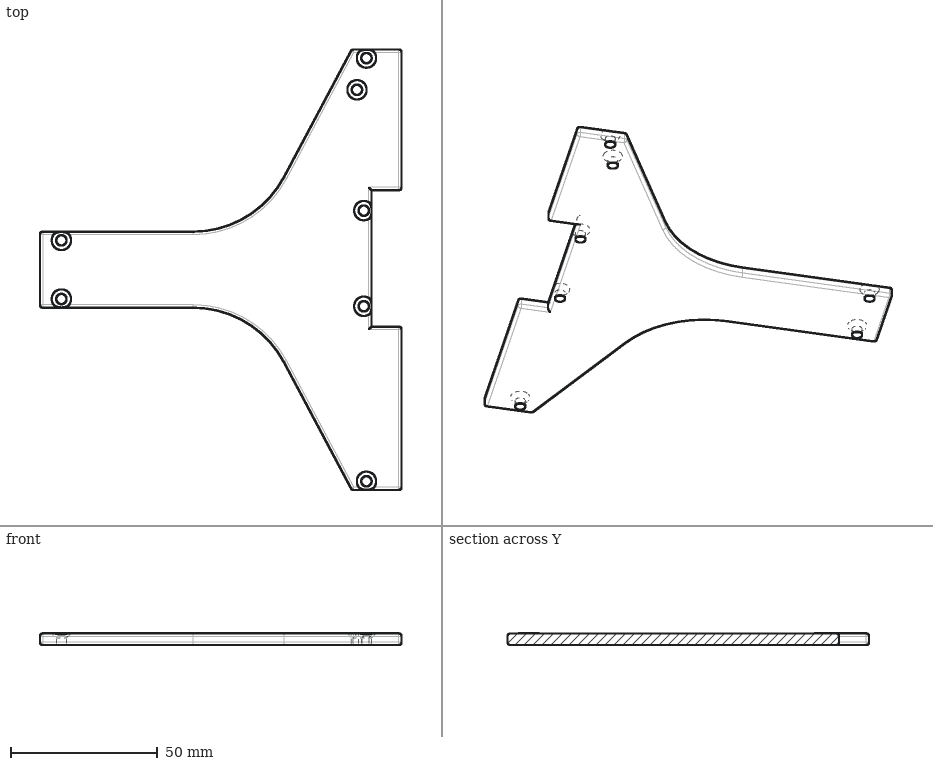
import cadquery as cq
import math

length = 123.2
width = 150.0
thickness = 4.0
edge_radius = 1.0

stem_width = 26.0
stem_length = 52.2
blend_radius = 35.0
slant_angle = 62.0
notch_depth = 10.2
notch_top = 27.0
notch_bottom = -19.4

hole_diameter = 3.5
sink_diameter = 6.6
sink_angle = 90.0
stem_hole_inset = 7.4
stem_hole_spacing = 20.0
tip_hole_inset_x = 12.0
tip_hole_inset_y = 3.0
extra_hole = (46.4, 61.2)
notch_hole_inset = 2.7
notch_hole_margin = 6.9

left = -length / 2
right = length / 2
half_width = width / 2
half_stem = stem_width / 2
notch_x = right - notch_depth
blend_start_x = left + stem_length


def blend_point(degrees, side):
    """Point on the stem blend after turning by the given angle; side is +1 or -1 in Y."""
    turn = math.radians(degrees)
    x = blend_start_x + blend_radius * math.sin(turn)
    y = half_stem + blend_radius * (1 - math.cos(turn))
    return (x, side * y)


def make_plate():
    """T-shaped plate with curved blends, a notched edge and all outer edges and corners rounded."""
    blend_end_x, blend_end_y = blend_point(slant_angle, 1)
    slant_run = (half_width - blend_end_y) / math.tan(math.radians(slant_angle))
    tip_x = blend_end_x + slant_run
    plate = (
        cq.Workplane("XY")
        .workplane(offset=-thickness / 2)
        .moveTo(left, half_stem)
        .lineTo(blend_start_x, half_stem)
        .threePointArc(blend_point(slant_angle / 2, 1), (blend_end_x, blend_end_y))
        .lineTo(tip_x, half_width)
        .lineTo(right, half_width)
        .lineTo(right, notch_top)
        .lineTo(notch_x, notch_top)
        .lineTo(notch_x, notch_bottom)
        .lineTo(right, notch_bottom)
        .lineTo(right, -half_width)
        .lineTo(tip_x, -half_width)
        .lineTo(blend_end_x, -blend_end_y)
        .threePointArc(blend_point(slant_angle / 2, -1), (blend_start_x, -half_stem))
        .lineTo(left, -half_stem)
        .close()
        .extrude(thickness)
    )
    outer_corners = "(|Z) and (<X or >X or <Y or >Y)"
    plate = plate.edges(outer_corners).fillet(edge_radius)
    return plate.faces("<Z or >Z").edges().fillet(edge_radius)


def hole_positions():
    """Centres of the screw holes."""
    stem_x = left + stem_hole_inset
    tip_x = right - tip_hole_inset_x
    tip_y = half_width - tip_hole_inset_y
    notch_hole_x = notch_x - notch_hole_inset
    return [
        (stem_x, stem_hole_spacing / 2),
        (stem_x, -stem_hole_spacing / 2),
        (tip_x, tip_y),
        (tip_x, -tip_y),
        extra_hole,
        (notch_hole_x, notch_top - notch_hole_margin),
        (notch_hole_x, notch_bottom + notch_hole_margin),
    ]


result = (
    make_plate()
    .faces(">Z")
    .workplane(origin=(0, 0, thickness / 2))
    .pushPoints(hole_positions())
    .cskHole(hole_diameter, sink_diameter, sink_angle)
)